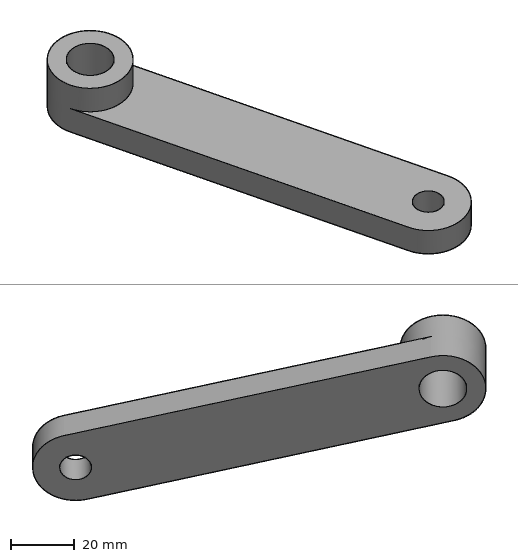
import cadquery as cq

length = 147.0
width = 27.0
arm_thickness = 10.0
boss_height = 20.0
boss_bore = 15.0
end_bore = 10.0

center_distance = length - width


def make_arm():
    """Flat arm with round ends, from the boss axis at the origin along +X."""
    return (
        cq.Workplane("XY")
        .center(center_distance / 2, 0)
        .slot2D(length, width)
        .extrude(arm_thickness)
    )


def make_cylinder(x, diameter, height):
    """Vertical cylinder standing on the bottom face at the given X."""
    return cq.Workplane("XY").center(x, 0).circle(diameter / 2).extrude(height)


boss = make_cylinder(0, width, boss_height)
result = (
    make_arm()
    .union(boss)
    .cut(make_cylinder(0, boss_bore, boss_height))
    .cut(make_cylinder(center_distance, end_bore, arm_thickness))
)